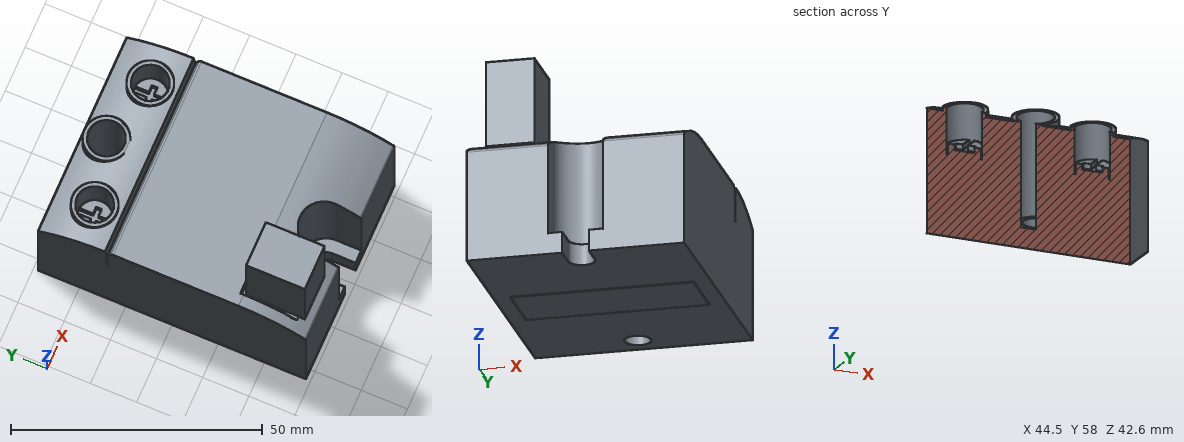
import cadquery as cq
import math

WIDTH = 44.5
LENGTH = 58.0
BODY_TOP = 27.1
FRONT_Y = -LENGTH / 2
BACK_Y = LENGTH / 2
SHOULDER_LENGTH = 14.6
SHOULDER_DROP = 3.8
SHOULDER_RADIUS = (SHOULDER_LENGTH**2 + SHOULDER_DROP**2) / (2 * SHOULDER_DROP)
EDGE_FILLET = 0.5

SLIT_WIDTH = 0.25
SLIT_DEPTH = 7.25
SLIT_Y = BACK_Y - 14.9
GROOVE_DEPTH = 1.9
GROOVE_BACK_Y = BACK_Y - 14.5
GROOVE_FRONT_Y = BACK_Y - 15.9

PAD_WIDTH = 37.5
PAD_LENGTH = 13.45
PAD_THICKNESS = 0.2

MOUNT_INSET = 5.2
MOUNT_RADIUS = 2.7
MOUNT_FLOOR = 4.4
SLOT_RADIUS = 5.6

COLLAR_RADIUS = 4.75
COLLAR_BORE_RADIUS = 3.8
MOUNT_COLLAR_TOP = 26.7
SCREW_COLLAR_TOP = 27.3
SCREW_X = 14.0
SCREW_Y = BACK_Y - 8.7
SCREW_FLOOR = 17.4
SCREW_HEAD_RADIUS = 3.65
SCREW_HEAD_HEIGHT = 2.3
DRIVE_SLOT_WIDTH = 1.15
DRIVE_SLOT_LENGTH = 4.3
DRIVE_SLOT_DEPTH = 1.15

UPRIGHT_TOP = 42.35
UPRIGHT_BOTTOM = 24.55
UPRIGHT_WIDTH = 9.9
UPRIGHT_LENGTH = 12.7
UPRIGHT_LEFT = -WIDTH / 2 + 3.5
UPRIGHT_FRONT = FRONT_Y + 1.75
POCKET_MARGIN = 0.85
POCKET_FLOOR = 24.75


def cylinder(x, y, radius, bottom, top):
    return cq.Workplane("XY", origin=(x, y, bottom)).circle(radius).extrude(top - bottom)


def box(x_min, x_max, y_min, y_max, z_min, z_max):
    size = (x_max - x_min, y_max - y_min, z_max - z_min)
    return cq.Workplane("XY").box(*size, centered=False).translate((x_min, y_min, z_min))


def shoulder_height(distance):
    """Height of a shoulder at a plan distance outward from its tangent line."""
    return BODY_TOP - SHOULDER_RADIUS + math.sqrt(SHOULDER_RADIUS**2 - distance**2)


def make_body():
    """Block with two curved shoulders and the groove, drawn in YZ and run across X."""
    tangent_y = LENGTH / 2 - SHOULDER_LENGTH
    middle_y = LENGTH / 2 - SHOULDER_LENGTH / 2
    wall_top = BODY_TOP - SHOULDER_DROP
    middle_z = shoulder_height(SHOULDER_LENGTH / 2)
    block = (
        cq.Workplane("YZ", origin=(-WIDTH / 2, 0, 0))
        .moveTo(FRONT_Y, 0)
        .lineTo(BACK_Y, 0)
        .lineTo(BACK_Y, wall_top)
        .threePointArc((middle_y, middle_z), (tangent_y, BODY_TOP))
        .lineTo(-tangent_y, BODY_TOP)
        .threePointArc((-middle_y, middle_z), (FRONT_Y, wall_top))
        .close()
        .extrude(WIDTH)
    )
    groove_bottom = BODY_TOP - GROOVE_DEPTH
    slit_bottom = BODY_TOP - SLIT_DEPTH
    slit_back = SLIT_Y + SLIT_WIDTH / 2
    slit_front = SLIT_Y - SLIT_WIDTH / 2
    groove = (
        cq.Workplane("YZ", origin=(-WIDTH / 2, 0, 0))
        .polyline([
            (GROOVE_BACK_Y, BODY_TOP),
            (slit_back, groove_bottom),
            (slit_back, slit_bottom),
            (slit_front, slit_bottom),
            (slit_front, groove_bottom),
            (GROOVE_FRONT_Y, BODY_TOP),
        ])
        .close()
        .extrude(WIDTH)
    )
    groove_edge = cq.selectors.NearestToPointSelector((0, GROOVE_FRONT_Y, BODY_TOP))
    front_edge = cq.selectors.NearestToPointSelector((0, FRONT_Y, wall_top))
    body = block.cut(groove)
    body = body.edges(groove_edge).fillet(EDGE_FILLET)
    return body.edges(front_edge).fillet(EDGE_FILLET)


def open_slot(radius, bottom, top):
    """Round-ended slot running out through the front wall."""
    centre_y = FRONT_Y + MOUNT_INSET
    channel = box(-radius, radius, FRONT_Y, centre_y, bottom, top)
    return cylinder(0, centre_y, radius, bottom, top).union(channel)


def screw_head(x):
    """Cross-slotted screw head standing on the floor of its bore."""
    top = SCREW_FLOOR + SCREW_HEAD_HEIGHT
    slot_bottom = top - DRIVE_SLOT_DEPTH
    half_width = DRIVE_SLOT_WIDTH / 2
    half_length = DRIVE_SLOT_LENGTH / 2
    long_slot = box(
        x - half_width, x + half_width,
        SCREW_Y - SCREW_HEAD_RADIUS, SCREW_Y + SCREW_HEAD_RADIUS,
        slot_bottom, top,
    )
    short_slot = box(
        x - half_length, x + half_length,
        SCREW_Y - half_width, SCREW_Y + half_width,
        slot_bottom, top,
    )
    return cylinder(x, SCREW_Y, SCREW_HEAD_RADIUS, SCREW_FLOOR, top).cut(long_slot).cut(short_slot)


result = make_body()

result = result.union(
    box(-PAD_WIDTH / 2, PAD_WIDTH / 2, -PAD_LENGTH / 2, PAD_LENGTH / 2, -PAD_THICKNESS, 0)
)

result = result.cut(open_slot(SLOT_RADIUS, MOUNT_FLOOR, BODY_TOP))
result = result.cut(open_slot(MOUNT_RADIUS, 0, MOUNT_FLOOR))

mount_y = BACK_Y - MOUNT_INSET
result = result.union(cylinder(0, mount_y, COLLAR_RADIUS, MOUNT_FLOOR, MOUNT_COLLAR_TOP))
result = result.cut(cylinder(0, mount_y, COLLAR_BORE_RADIUS, MOUNT_FLOOR, BODY_TOP))
result = result.cut(cylinder(0, mount_y, MOUNT_RADIUS, 0, MOUNT_FLOOR))

for screw_x in (-SCREW_X, SCREW_X):
    result = result.union(cylinder(screw_x, SCREW_Y, COLLAR_RADIUS, SCREW_FLOOR, SCREW_COLLAR_TOP))
    result = result.cut(cylinder(screw_x, SCREW_Y, COLLAR_BORE_RADIUS, SCREW_FLOOR, SCREW_COLLAR_TOP))
    result = result.union(screw_head(screw_x))

upright_right = UPRIGHT_LEFT + UPRIGHT_WIDTH
upright_back = UPRIGHT_FRONT + UPRIGHT_LENGTH
result = result.cut(
    box(
        UPRIGHT_LEFT - POCKET_MARGIN, upright_right + POCKET_MARGIN,
        UPRIGHT_FRONT, upright_back + POCKET_MARGIN,
        POCKET_FLOOR, BODY_TOP,
    )
)
result = result.union(
    box(UPRIGHT_LEFT, upright_right, UPRIGHT_FRONT, upright_back, UPRIGHT_BOTTOM, UPRIGHT_TOP)
)